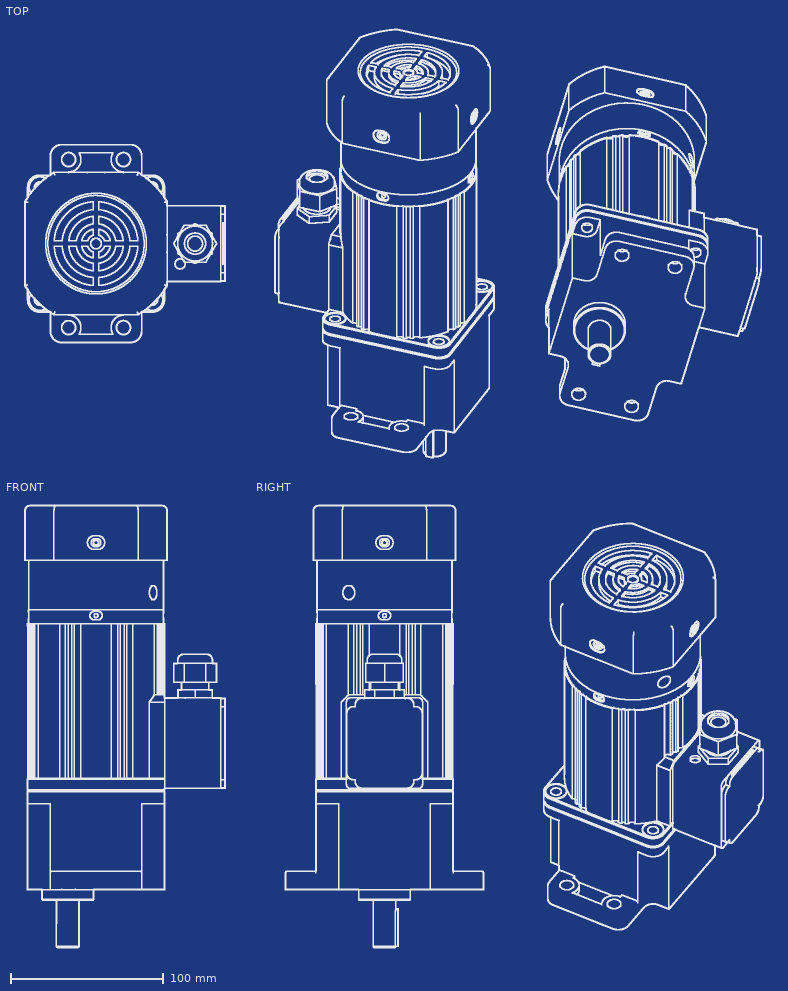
import cadquery as cq
import math

boss_bottom = 31.0
gearbox_bottom = 38.0
gearbox_top = 103.0
flange_top = 111.0
frame_top = 212.5
ring_top = 221.5
hood_bottom = 254.0
hood_top = 290.0

body_width = 90.0
flange_corner_radius = 8.0
bolt_offset = body_width / 2 - flange_corner_radius
bolt_hole_diameter = 7.0
bolt_seat_diameter = 14.0
bolt_seat_depth = 0.5
edge_break = 0.5

gearbox_flange_thickness = 8.7
corner_pocket_radius = 7.0
boss_diameter = 34.0
shaft_offset = -18.5
foot_width = 60.0
foot_span = 130.0
foot_thickness = 12.2
foot_corner_radius = 7.5
foot_edge_radius = 1.2
foot_hole_diameter = 9.0
foot_hole_spacing_x = 36.0
foot_hole_spacing_y = 110.2
foot_recess_reach = 59.5
foot_recess_depth = 4.0
foot_hole_pad_diameter = 16.2

shaft_diameter = 15.0
shaft_chamfer = 1.0
key_width = 5.0
key_length = 25.5
key_reach = 9.0

frame_radius = 45.0
groove_centres = (22.5, 67.5)
grooves = [(-6.9, 5.5, 1.7), (0, 3.2, 1.2), (6.9, 5.5, 1.7)]
ring_radius = 44.5
ring_slot_length = 8.0
ring_slot_height = 5.5
ring_slot_depth = 1.5
ring_slot_level = 217.8
ring_pilot_diameter = 2.5
ring_pilot_depth = 4.4

cap_insertion = 4.0
cap_cable_hole_diameter = 9.3
cap_cable_hole_depth = 17.5
cap_cable_hole_angle = -32
cap_cable_hole_level = 233.0

hood_width = 93.5
hood_corner_radius = 54.2
hood_edge_radius = 3.5
hood_roof_thickness = 7.0
hood_slot_level = 265.5
hood_slot_steps = [(11.3, 9.0, 1.0), (6.5, 5.2, 1.7)]
hood_screw_hole_diameter = 3.2
grille_rim_radius = 35.0
grille_rim_depth = 0.3
grille_recess_radius = 33.0
grille_floor_radius = 31.5
grille_recess_depth = 1.5
grille_slots = [(22.3, 27.5, 4.0), (13.0, 18.0, 1.7), (5.8, 9.5, 1.7)]
grille_spoke_width = 3.8
grille_hub_hole_radius = 3.5
grille_hub_hole_depth = 1.0

box_width = 50.0
box_bottom = 104.5
box_top = 163.8
box_end = 81.8
lid_end = 84.7
box_edge_radius = 2.5
lid_inset = 0.3
lid_notch = 5.5
lid_notch_radius = 4.0
pry_slot_length = 27.3
pry_slot_size = 0.5
pad_width = 56.8
pad_top = 166.0
pad_chamfer = 5.0
plug_hole_x = 55.0
plug_hole_y = -13.3
plug_hole_diameter = 6.7
plug_hole_depth = 2.3

gland_x = 65.0
gland_base_flats = 22.5
gland_base_top = 169.0
gland_neck_diameter = 18.0
gland_nut_bottom = 174.0
gland_nut_top = 186.5
gland_nut_flats = 24.5
gland_top = 192.5
gland_dome_diameter = 23.0
gland_dome_radius = 4.0
gland_mouth_diameter = 14.0
gland_mouth_depth = 1.7
gland_bore_diameter = 10.0
gland_bore_depth = 14.5


def quarter_turns(shape):
    """The shape repeated at four quarter turns about the vertical axis."""
    return [shape.rotate((0, 0, 0), (0, 0, 1), 90 * turn) for turn in range(4)]


def disc(radius, bottom, top, x=0.0):
    """A vertical cylinder between two levels."""
    return cq.Workplane("XY", origin=(x, 0, bottom)).circle(radius).extrude(top - bottom)


def square_flange(bottom, top):
    """A square plate with rounded corners."""
    plate = cq.Workplane("XY", origin=(0, 0, bottom)).rect(body_width, body_width).extrude(top - bottom)
    return plate.edges("|Z").fillet(flange_corner_radius)


def corner_discs(diameter, bottom, top):
    """Four vertical cylinders at the bolt places of the flange."""
    return (cq.Workplane("XY", origin=(0, 0, bottom))
            .rect(2 * bolt_offset, 2 * bolt_offset, forConstruction=True).vertices()
            .circle(diameter / 2).extrude(top - bottom))


def bolt_holes(plate, bottom, top):
    """Cut the four corner bolt holes through a flange."""
    return plate.cut(corner_discs(bolt_hole_diameter, bottom, top))


def make_gearbox():
    flange_bottom = gearbox_top - gearbox_flange_thickness
    flange = square_flange(flange_bottom, gearbox_top).faces(">Z").edges().chamfer(edge_break)
    flange = bolt_holes(flange, flange_bottom, gearbox_top)

    arms_height = flange_bottom - gearbox_bottom
    arms = cq.Workplane("XY", origin=(0, 0, gearbox_bottom)).rect(foot_width, body_width).extrude(arms_height)
    arms = arms.union(cq.Workplane("XY", origin=(0, 0, gearbox_bottom)).rect(body_width, foot_width)
                      .extrude(arms_height))
    near = body_width / 2 - edge_break
    inner_corners = cq.selectors.BoxSelector((-near, -near, gearbox_bottom), (near, near, flange_bottom))
    arms = arms.edges("|Z").edges(inner_corners).fillet(corner_pocket_radius)

    feet = cq.Workplane("XY", origin=(0, 0, gearbox_bottom)).rect(foot_width, foot_span)
    feet = feet.extrude(foot_thickness)
    feet = feet.edges("|Z").fillet(foot_corner_radius).faces(">Z").edges().fillet(foot_edge_radius)
    hole_x = foot_hole_spacing_x / 2
    hole_y = foot_hole_spacing_y / 2
    hole_grid = [(side * hole_x, end * hole_y) for side in (-1, 1) for end in (-1, 1)]
    foot_top = gearbox_bottom + foot_thickness
    recess_floor = foot_top - foot_recess_depth
    recess = (cq.Workplane("XY", origin=(0, 0, recess_floor))
              .rect(foot_hole_spacing_x, 2 * foot_recess_reach).extrude(foot_recess_depth))
    hole_pads = (cq.Workplane("XY", origin=(0, 0, recess_floor)).pushPoints(hole_grid)
                 .circle(foot_hole_pad_diameter / 2).extrude(foot_recess_depth))
    feet = feet.cut(recess.cut(hole_pads))
    feet = feet.cut(cq.Workplane("XY", origin=(0, 0, gearbox_bottom)).pushPoints(hole_grid)
                    .circle(foot_hole_diameter / 2).extrude(foot_thickness))

    boss = disc(boss_diameter / 2, boss_bottom, gearbox_bottom, shaft_offset)
    boss = boss.faces("<Z").edges().chamfer(edge_break)
    bore = disc(shaft_diameter / 2, boss_bottom, gearbox_bottom, shaft_offset)
    return flange.union(arms).union(feet).union(boss).cut(bore)


def make_shaft():
    shaft = disc(shaft_diameter / 2, 0, gearbox_bottom, shaft_offset)
    shaft = shaft.faces("<Z").edges().chamfer(shaft_chamfer)
    key = (cq.Workplane("XZ", origin=(shaft_offset, 0, 0))
           .moveTo(-key_width / 2, shaft_chamfer).lineTo(key_width / 2, shaft_chamfer)
           .lineTo(key_width / 2, key_length - key_width / 2)
           .threePointArc((0, key_length), (-key_width / 2, key_length - key_width / 2))
           .close().extrude(-key_reach))
    return shaft.union(key)


def polar(radius, angle):
    """The point at a radius and an angle in degrees."""
    return (radius * math.cos(math.radians(angle)), radius * math.sin(math.radians(angle)))


def frame_groove(angle, width, depth):
    """A lengthwise groove in the barrel with a rounded floor."""
    start = polar(frame_radius, angle - width / 2)
    floor = polar(frame_radius - depth, angle)
    end = polar(frame_radius, angle + width / 2)
    outside = polar(frame_radius + depth, angle)
    return (cq.Workplane("XY", origin=(0, 0, flange_top)).moveTo(*start).threePointArc(floor, end)
            .lineTo(*outside).close().extrude(frame_top - flange_top))


def make_motor_frame():
    frame = disc(frame_radius, flange_top, frame_top)
    for group_centre in groove_centres:
        for angle, width, depth in grooves:
            for cutter in quarter_turns(frame_groove(group_centre + angle, width, depth)):
                frame = frame.cut(cutter)

    flange = square_flange(gearbox_top, flange_top).faces("|Z").edges().chamfer(edge_break)
    flange = bolt_holes(flange, gearbox_top, flange_top)
    flange = flange.cut(corner_discs(bolt_seat_diameter, flange_top - bolt_seat_depth, flange_top))

    pad = cq.Workplane("XY", origin=(body_width / 4, 0, flange_top)).rect(body_width / 2, pad_width)
    pad = pad.extrude(pad_top - flange_top).edges("|X and >Z").chamfer(pad_chamfer)

    ring = disc(ring_radius, frame_top, ring_top)
    slot = (cq.Workplane("XZ", origin=(0, -ring_radius + ring_slot_depth, ring_slot_level))
            .slot2D(ring_slot_length, ring_slot_height).extrude(ring_slot_depth))
    pilot = (cq.Workplane("XZ", origin=(0, -ring_radius + ring_pilot_depth, ring_slot_level))
             .circle(ring_pilot_diameter / 2).extrude(ring_pilot_depth))
    for cutter in quarter_turns(slot.union(pilot)):
        ring = ring.cut(cutter)
    return flange.union(frame).union(pad).union(ring)


def make_end_cap():
    cap = disc(ring_radius, ring_top, hood_bottom + cap_insertion)
    cable_hole = (cq.Workplane("YZ", origin=(ring_radius - cap_cable_hole_depth, 0, cap_cable_hole_level))
                  .circle(cap_cable_hole_diameter / 2).extrude(2 * cap_cable_hole_depth)
                  .rotate((0, 0, 0), (0, 0, 1), cap_cable_hole_angle))
    return cap.cut(cable_hole)


def make_hood():
    height = hood_top - hood_bottom
    hood = cq.Workplane("XY", origin=(0, 0, hood_bottom)).rect(hood_width, hood_width).extrude(height)
    hood = hood.intersect(disc(hood_corner_radius, hood_bottom, hood_top))
    hood = hood.faces(">Z").edges().fillet(hood_edge_radius)
    hood = hood.cut(disc(ring_radius, hood_bottom, hood_top - hood_roof_thickness))

    outer_face = hood_width / 2
    cutter = (cq.Workplane("XZ", origin=(0, 0, hood_slot_level))
              .circle(hood_screw_hole_diameter / 2).extrude(outer_face))
    for length, slot_height, depth in hood_slot_steps:
        step = (cq.Workplane("XZ", origin=(0, depth - outer_face, hood_slot_level))
                .slot2D(length, slot_height).extrude(depth))
        cutter = cutter.union(step)
    for turned in quarter_turns(cutter):
        hood = hood.cut(turned)

    grille_floor = hood_top - grille_recess_depth
    dish = (cq.Workplane("XZ").moveTo(0, hood_top).lineTo(grille_rim_radius, hood_top)
            .lineTo(grille_recess_radius, hood_top - grille_rim_depth)
            .lineTo(grille_floor_radius, grille_floor).lineTo(0, grille_floor)
            .close().revolve(360, (0, 0, 0), (0, 1, 0)))
    hood = hood.cut(dish)
    spoke = (cq.Workplane("XY", origin=(0, 0, hood_bottom)).rect(hood_width, grille_spoke_width)
             .extrude(hood_top - hood_bottom))
    spokes = spoke.union(spoke.rotate((0, 0, 0), (0, 0, 1), 90))
    for inner, outer, depth in grille_slots:
        slot_floor = grille_floor - depth
        slots = disc(outer, slot_floor, grille_floor).cut(disc(inner, slot_floor, grille_floor))
        hood = hood.cut(slots.cut(spokes))
    return hood.cut(disc(grille_hub_hole_radius, grille_floor - grille_hub_hole_depth, grille_floor))


def make_terminal_box():
    height = box_top - box_bottom
    middle = (box_top + box_bottom) / 2
    inner_face = body_width / 2
    box = cq.Workplane("YZ", origin=(inner_face, 0, middle)).rect(box_width, height)
    box = box.extrude(box_end - inner_face).edges("|X").fillet(box_edge_radius)

    lid_width = box_width - 2 * lid_inset
    lid_height = height - 2 * lid_inset
    lid_plane = cq.Workplane("YZ", origin=(box_end, 0, middle))
    wide_slab = lid_plane.rect(lid_width, lid_height - 2 * lid_notch).extrude(lid_end - box_end)
    tall_slab = lid_plane.rect(lid_width - 2 * lid_notch, lid_height).extrude(lid_end - box_end)
    lid = wide_slab.edges("|X").fillet(lid_notch_radius).union(tall_slab.edges("|X").fillet(lid_notch_radius))
    lid_middle = (box_end + lid_end) / 2
    pry_slot = (cq.Workplane("XY", origin=(lid_middle, 0, box_top - lid_inset))
                .rect(pry_slot_size, pry_slot_length).extrude(-pry_slot_size))
    lid = lid.cut(pry_slot)

    plug_hole = (cq.Workplane("XY", origin=(plug_hole_x, plug_hole_y, box_top - plug_hole_depth))
                 .circle(plug_hole_diameter / 2).extrude(plug_hole_depth))
    return box.union(lid).cut(plug_hole)


def hexagon(across_flats, bottom, top):
    """A vertical hexagonal prism with two of its corners along X."""
    across_corners = across_flats / math.cos(math.radians(30))
    return cq.Workplane("XY", origin=(0, 0, bottom)).polygon(6, across_corners).extrude(top - bottom)


def make_gland():
    base = hexagon(gland_base_flats, box_top, gland_base_top).rotate((0, 0, 0), (0, 0, 1), 30)
    neck = disc(gland_neck_diameter / 2, gland_base_top, gland_nut_bottom)
    nut = hexagon(gland_nut_flats, gland_nut_bottom, gland_nut_top)
    dome = disc(gland_dome_diameter / 2, gland_nut_top, gland_top)
    dome = dome.faces(">Z").edges().fillet(gland_dome_radius)
    gland = base.union(neck).union(nut).union(dome)
    gland = gland.cut(disc(gland_mouth_diameter / 2, gland_top - gland_mouth_depth, gland_top))
    gland = gland.cut(disc(gland_bore_diameter / 2, gland_top - gland_bore_depth, gland_top))
    return gland.translate((gland_x, 0, 0))


gearbox = make_gearbox()
output_shaft = make_shaft()
motor_frame = make_motor_frame()
end_cap = make_end_cap()
fan_hood = make_hood()
terminal_box = make_terminal_box()
cable_gland = make_gland()

result = cq.Compound.makeCompound([
    gearbox.val(),
    output_shaft.val(),
    motor_frame.val(),
    end_cap.val(),
    fan_hood.val(),
    terminal_box.val(),
    cable_gland.val(),
])